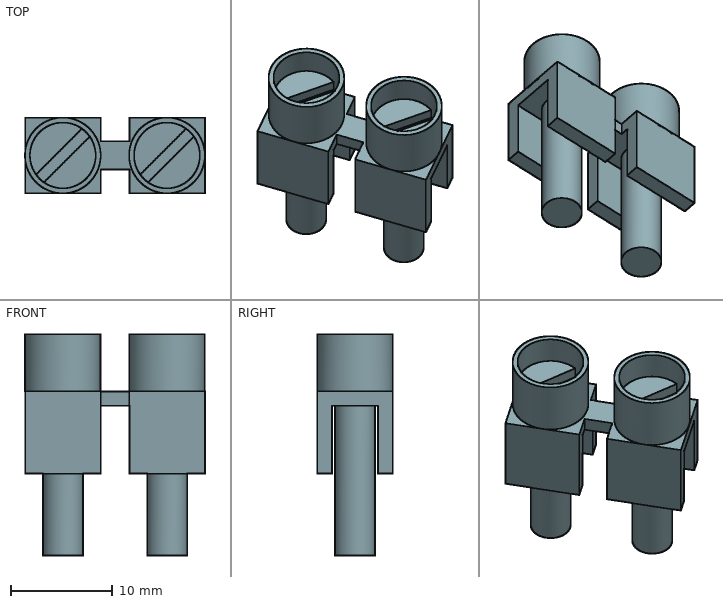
import cadquery as cq

pitch = 10.3
total_height = 21.9

block_width = 7.5
block_height = 8.15
web_thickness = 1.45
channel_width = 4.51

collar_diameter = 7.5
collar_bore = 6.5
collar_height = 5.65
collar_offset = -0.02
head_depth = 2.9
slot_width = 1.1
slot_depth = 1.18
slot_angle = 45

pin_diameter = 3.99
bridge_width = 2.83

block_top = total_height - collar_height
block_bottom = block_top - block_height
web_bottom = block_top - web_thickness
head_top = total_height - head_depth


def upright_box(length, width, bottom, top):
    """Box centred on the Z axis between two heights."""
    return cq.Workplane("XY").workplane(offset=bottom).rect(length, width).extrude(top - bottom)


def upright_cylinder(diameter, bottom, top):
    """Cylinder on the Z axis between two heights."""
    return cq.Workplane("XY").workplane(offset=bottom).circle(diameter / 2).extrude(top - bottom)


def make_clamp_block():
    block = upright_box(block_width, block_width, block_bottom, block_top)
    channel = upright_box(block_width, channel_width, block_bottom, web_bottom)
    return block.cut(channel)


def make_collar():
    collar = upright_cylinder(collar_diameter, block_top, total_height)
    bore = upright_cylinder(collar_bore, head_top, total_height)
    return collar.cut(bore).translate((collar_offset, 0, 0))


def make_screw_slot():
    """Driver slot crossing the screw head and ending at the collar wall."""
    slot = upright_box(collar_bore * 2, slot_width, head_top - slot_depth, head_top)
    slot = slot.rotate((0, 0, 0), (0, 0, 1), slot_angle)
    head = upright_cylinder(collar_bore, head_top - slot_depth, head_top)
    return slot.intersect(head.translate((collar_offset, 0, 0)))


def make_terminal():
    pin = upright_cylinder(pin_diameter, 0, web_bottom)
    return make_clamp_block().union(make_collar()).union(pin).cut(make_screw_slot())


result = upright_box(pitch, bridge_width, web_bottom, block_top)
for side in (-1, 1):
    result = result.union(make_terminal().translate((side * pitch / 2, 0, 0)))